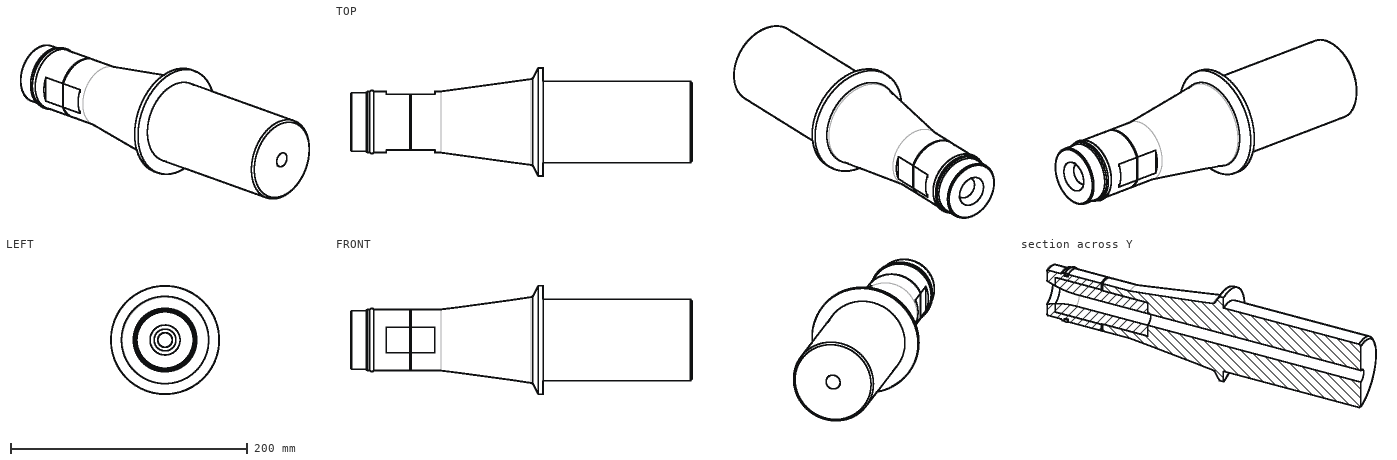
import cadquery as cq
import math

total_length = 289.0
gap_width = 1.0
gap_middle = 50.5
nose_end = gap_middle - gap_width / 2
shank_start = gap_middle + gap_width / 2

neck_radius = 26.0
tip_radius = 24.9
tip_chamfer = 1.0
shoulder_start = 13.0
shoulder_end = shoulder_start + neck_radius - tip_radius

seal_middle = 18.0
seal_section_radius = 1.7
seal_outer_radius = 27.0
seal_center_radius = seal_outer_radius - seal_section_radius
groove_start = seal_middle - seal_section_radius
groove_end = seal_middle + seal_section_radius
groove_floor_radius = seal_center_radius - seal_section_radius

flat_length = 41.0
flat_offset = 23.7

taper_start = 76.3
taper_end = 152.3
taper_end_radius = 36.5
flange_cone_start = 154.0
flange_cone_radius = 37.0
flange_rim_start = 158.7
flange_end = 162.7
flange_radius = 46.0
rear_radius = 34.7
rear_chamfer = 1.7

mouth_radius = 12.7
bore_radius = 6.0
flare_radius = 57.8
flare_length = math.sqrt(flare_radius**2 - (flare_radius - mouth_radius + bore_radius) ** 2)

tube_radius = 18.5
tube_bore_entry_radius = 9.2
tube_start = flare_length - math.sqrt(
    flare_radius**2 - (flare_radius - tube_bore_entry_radius + bore_radius) ** 2
)
tube_end = 2 * gap_middle - tube_start


def cylinder(radius, start, end):
    """Solid cylinder on the X axis between two stations."""
    return cq.Workplane("YZ").workplane(offset=start).circle(radius).extrude(end - start)


def revolve_about_x(profile):
    """Turn a closed profile in the XY plane about the X axis."""
    return profile.close().revolve(360, (0, 0, 0), (1, 0, 0))


def bore_cutter():
    """Straight bore whose mouth flares out along a circular arc."""
    half_angle = math.asin(flare_length / flare_radius) / 2
    arc_middle = (
        flare_length - flare_radius * math.sin(half_angle),
        bore_radius + flare_radius * (1 - math.cos(half_angle)),
    )
    profile = (
        cq.Workplane("XY")
        .moveTo(0, 0)
        .lineTo(0, mouth_radius)
        .threePointArc(arc_middle, (flare_length, bore_radius))
        .lineTo(total_length, bore_radius)
        .lineTo(total_length, 0)
    )
    return revolve_about_x(profile)


def cut_wrench_flats(body):
    """Cut parallel flats facing -Y and +Y, centered on the gap."""
    depth = neck_radius - flat_offset
    block = cq.Workplane("XY").box(flat_length, 2 * depth, 2 * neck_radius)
    for side in (-1, 1):
        body = body.cut(block.translate((gap_middle, side * neck_radius, 0)))
    return body


def make_connecting_tube():
    """Tube that joins nose and shank, with the flare running on into its bore."""
    return cylinder(tube_radius, tube_start, tube_end).cut(bore_cutter())


def make_seal_ring():
    """O-ring whose round section stands slightly proud of the neck."""
    section = (
        cq.Workplane("XY")
        .center(seal_middle, seal_center_radius)
        .circle(seal_section_radius)
    )
    return section.revolve(360, (0, -seal_center_radius, 0), (1, -seal_center_radius, 0))


def make_nose():
    """Front sleeve with the seal groove, the flared mouth and a socket for the tube."""
    profile = (
        cq.Workplane("XY")
        .moveTo(0, 0)
        .lineTo(0, tip_radius - tip_chamfer)
        .lineTo(tip_chamfer, tip_radius)
        .lineTo(shoulder_start, tip_radius)
        .lineTo(shoulder_end, neck_radius)
        .lineTo(groove_start, neck_radius)
        .lineTo(groove_start, groove_floor_radius)
        .lineTo(groove_end, groove_floor_radius)
        .lineTo(groove_end, neck_radius)
        .lineTo(nose_end, neck_radius)
        .lineTo(nose_end, 0)
    )
    socket = cylinder(tube_radius, tube_start, nose_end)
    return cut_wrench_flats(revolve_about_x(profile)).cut(bore_cutter()).cut(socket)


def make_shank():
    """Tapered rear body with its flange, through bore and a socket for the tube."""
    profile = (
        cq.Workplane("XY")
        .moveTo(shank_start, 0)
        .lineTo(shank_start, neck_radius)
        .lineTo(taper_start, neck_radius)
        .lineTo(taper_end, taper_end_radius)
        .lineTo(flange_cone_start, flange_cone_radius)
        .lineTo(flange_rim_start, flange_radius)
        .lineTo(flange_end, flange_radius)
        .lineTo(flange_end, rear_radius)
        .lineTo(total_length - rear_chamfer, rear_radius)
        .lineTo(total_length, rear_radius - rear_chamfer)
        .lineTo(total_length, 0)
    )
    socket = cylinder(tube_radius, shank_start, tube_end)
    return cut_wrench_flats(revolve_about_x(profile)).cut(bore_cutter()).cut(socket)


nose = make_nose()
seal_ring = make_seal_ring()
connecting_tube = make_connecting_tube()
shank = make_shank()

result = cq.Compound.makeCompound(
    [nose.val(), seal_ring.val(), connecting_tube.val(), shank.val()]
)